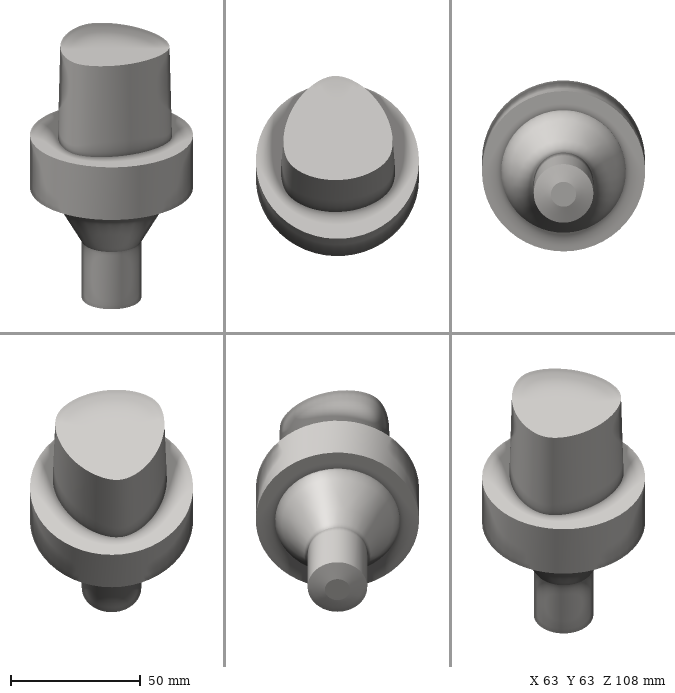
import cadquery as cq
import math

total_height = 108.0
tip_chamfer_height = 1.8
cone_bottom_z = 25.9
flange_bottom_z = 48.1
flange_top_z = 70.2

flange_diameter = 63.0
pin_diameter = 23.0
tip_diameter = 9.7
cone_half_angle = 30.0
collar_height = 0.4

shank_base_diameter = 44.1
shank_taper = 1 / 20
lobe_eccentricity = 1.4
outline_points = 72


def lobed_outline(mean_diameter, z):
    """Closed three-lobed curve with one lobe pointing to -Y."""
    radius = mean_diameter / 2
    e = lobe_eccentricity

    def point(angle):
        along = radius * math.cos(angle) + 2 * e * math.cos(2 * angle) - e * math.cos(4 * angle)
        across = radius * math.sin(angle) - 2 * e * math.sin(2 * angle) - e * math.sin(4 * angle)
        return (across, -along, z)

    points = [cq.Vector(*point(2 * math.pi * i / outline_points)) for i in range(outline_points)]
    return cq.Wire.assembleEdges([cq.Edge.makeSpline(points, periodic=True)])


pin_radius = pin_diameter / 2
cone_top_z = flange_bottom_z - collar_height
cone_height = cone_top_z - cone_bottom_z
cone_top_radius = pin_radius + cone_height * math.tan(math.radians(cone_half_angle))
body = (
    cq.Workplane("XZ")
    .lineTo(tip_diameter / 2, 0)
    .lineTo(pin_radius, tip_chamfer_height)
    .lineTo(pin_radius, cone_bottom_z)
    .lineTo(cone_top_radius, cone_top_z)
    .lineTo(cone_top_radius, flange_bottom_z)
    .lineTo(flange_diameter / 2, flange_bottom_z)
    .lineTo(flange_diameter / 2, flange_top_z)
    .lineTo(0, flange_top_z)
    .close()
    .revolve(360, (0, 0, 0), (0, 1, 0))
)

shank_top_diameter = shank_base_diameter - shank_taper * (total_height - flange_top_z)
shank = cq.Solid.makeLoft(
    [
        lobed_outline(shank_base_diameter, flange_top_z),
        lobed_outline(shank_top_diameter, total_height),
    ],
    True,
)

result = body.union(cq.Workplane(shank))